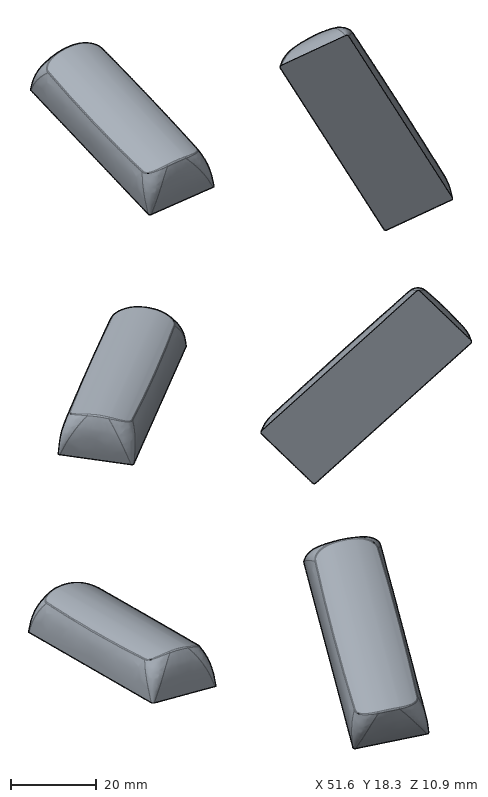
import cadquery as cq

length = 51.55
width = 18.25
crown_height = 10.9

taper = 5.0
loft_height = 11.0
section_count = 5
wall_power = 3

base_corner_radius = 0.5
top_corner_radius = 5.0

end_arch = 1.7
side_arch = 0.65

crown_sag = 3.0
rim_radius = 0.5


def base_section():
    return cq.Sketch().rect(length, width).vertices().fillet(base_corner_radius)


def arched_section(relative_height):
    """Rounded rectangle with outward-arched sides, at 0 (base) < relative height <= 1 (top)."""
    lean = relative_height**wall_power
    side_x = (length - lean * taper) / 2
    side_y = (width - lean * taper) / 2
    corner_x = side_x - lean * end_arch
    corner_y = side_y - lean * side_arch
    corner_radius = base_corner_radius + relative_height * (top_corner_radius - base_corner_radius)
    outline = (
        cq.Sketch()
        .arc((-corner_x, -corner_y), (-side_x, 0), (-corner_x, corner_y))
        .arc((-corner_x, corner_y), (0, side_y), (corner_x, corner_y))
        .arc((corner_x, corner_y), (side_x, 0), (corner_x, -corner_y))
        .arc((corner_x, -corner_y), (0, -side_y), (-corner_x, -corner_y))
        .assemble()
    )
    rounded = outline.vertices().fillet(corner_radius)
    return rounded.moved(cq.Location(cq.Vector(0, 0, relative_height * loft_height)))


def lofted_body():
    """Smooth loft: upright at the base, leaning inwards more and more towards the top."""
    steps = section_count - 1
    upper_sections = [arched_section(step / steps) for step in range(1, section_count)]
    return cq.Workplane("XY").placeSketch(base_section(), *upper_sections).loft()


def material_above_crown():
    """Everything above the convex arc that runs along the length."""
    half_width = width / 2
    edge_height = crown_height - crown_sag
    clear_height = loft_height + crown_sag
    return (
        cq.Workplane("YZ")
        .moveTo(-half_width, edge_height)
        .threePointArc((0, crown_height), (half_width, edge_height))
        .lineTo(half_width, clear_height)
        .lineTo(-half_width, clear_height)
        .close()
        .extrude(length / 2, both=True)
    )


crowned_body = lofted_body().cut(material_above_crown())
result = crowned_body.faces(">Z").edges().fillet(rim_radius)